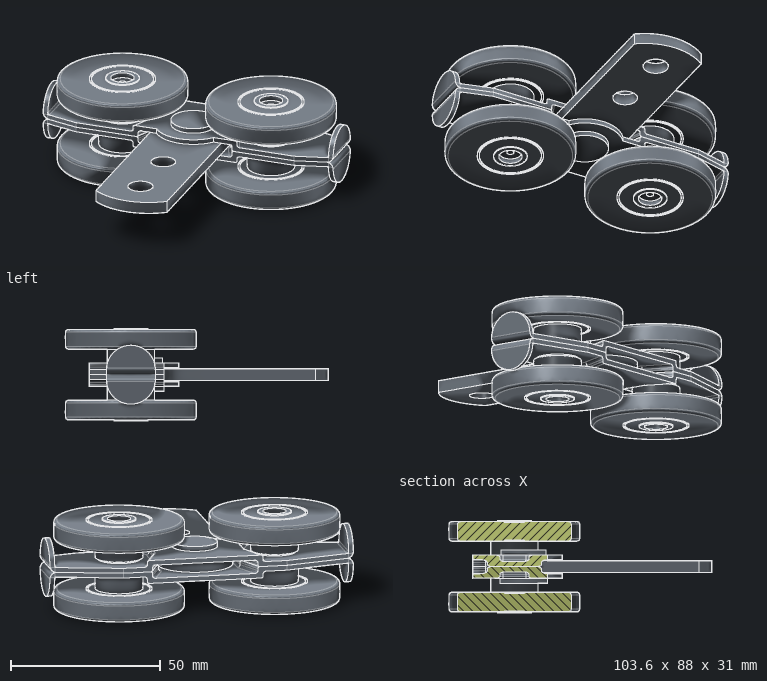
import cadquery as cq
import math


overall_length = 103.6
axle_spacing = 53.0
axle_x = axle_spacing / 2
pivot_y = -3.1

sheet = 1.7
pan_depth = 2.3
pan_top = pan_depth + sheet
plate_back = 14.0
plate_front = 11.1
lobe_radius = 13.0
blank_half_width = 25.9
pan_corner_y = 4.1
pan_inner_x = 13.9
pan_wall_angle = 22.5
convex_radius = 0.6
concave_radius = 0.9

flange_radius = 8.2
flange_top = sheet + flange_radius
bend_inner_radius = 0.6
bend_outer_radius = bend_inner_radius + sheet
taper_slope = 0.26

wheel_diameter = 43.9
wheel_bottom = 8.5
wheel_top = 15.1
crown_height = 0.2
wheel_edge = 1.0
ring_outer_diameter = 22.2
ring_inner_diameter = 20.8
ring_depth = 0.3

barrel_diameter = 16.0
neck_diameter = 14.2
neck_height = 0.6
core_diameter = 9.9
journal_diameter = 11.3
axle_length = 31.0
axle_half_length = axle_length / 2
recess_diameter = 7.8
recess_depth = 1.8
center_hole_diameter = 2.4
drill_point_angle = 118.0

hanger_width = 25.4
hanger_thickness = 4.0
hanger_tip_y = -66.0
hanger_shoulder_y = -61.6
hanger_holes = [(-31.6, 8.2), (-53.1, 8.4)]

pin_shaft_diameter = 9.9
pin_top_diameter = 15.0
pin_bottom_diameter = 16.0
pin_half_length = 5.6


def disc(diameter, z_from, z_to, x=0.0, y=0.0):
    """Upright cylinder between two heights."""
    return cq.Workplane("XY", origin=(x, y, z_from)).circle(diameter / 2).extrude(z_to - z_from)


def plate_outline():
    """Plan of a plate, flanges included, as a tall prism."""
    end_x = overall_length / 2
    taper_x = end_x - sheet
    front_x = taper_x - (plate_front - flange_radius) / taper_slope
    back_x = taper_x - (plate_back - flange_radius) / taper_slope
    lobe_x = math.sqrt(lobe_radius**2 - (plate_front + pivot_y) ** 2)
    return (
        cq.Workplane("XY")
        .moveTo(-lobe_x, -plate_front)
        .threePointArc((0, pivot_y - lobe_radius), (lobe_x, -plate_front))
        .lineTo(front_x, -plate_front)
        .lineTo(taper_x, -flange_radius)
        .lineTo(end_x, -flange_radius)
        .lineTo(end_x, flange_radius)
        .lineTo(taper_x, flange_radius)
        .lineTo(back_x, plate_back)
        .lineTo(-back_x, plate_back)
        .lineTo(-taper_x, flange_radius)
        .lineTo(-end_x, flange_radius)
        .lineTo(-end_x, -flange_radius)
        .lineTo(-taper_x, -flange_radius)
        .lineTo(-front_x, -plate_front)
        .close()
        .extrude(flange_top)
    )


def pan_prism(middle_x, corner_y, height):
    """Block waisted in the middle, whose sides are one face of the pan wall."""
    reach_y = blank_half_width
    reach_x = middle_x + (reach_y - corner_y) * math.tan(math.radians(pan_wall_angle))
    return (
        cq.Workplane("XY")
        .polyline([
            (-middle_x, -corner_y), (-reach_x, -reach_y), (reach_x, -reach_y), (middle_x, -corner_y),
            (middle_x, corner_y), (reach_x, reach_y), (-reach_x, reach_y), (-middle_x, corner_y),
        ])
        .close()
        .extrude(height)
    )


def wall_edges(shape, z):
    """Edges at height z along the pan wall, leaving out the outer border of the sheet."""
    margin = 0.1
    reach_x = overall_length / 2 - margin
    reach_y = blank_half_width - margin
    return shape.edges(
        cq.selectors.BoxSelector((-reach_x, -reach_y, z - margin), (reach_x, reach_y, z + margin))
    )


def pressed_sheet():
    """Flat sheet with the raised pan across its middle and rounded bends."""
    corner_shift = sheet * math.tan(math.radians(pan_wall_angle / 2))
    sheet_body = (
        cq.Workplane("XY")
        .rect(overall_length, 2 * blank_half_width)
        .extrude(sheet)
        .union(pan_prism(pan_inner_x + sheet, pan_corner_y - corner_shift, pan_top))
        .cut(pan_prism(pan_inner_x, pan_corner_y, pan_depth))
    )
    for z, radius in [
        (0, convex_radius), (sheet, concave_radius), (pan_depth, concave_radius), (pan_top, convex_radius)
    ]:
        sheet_body = wall_edges(sheet_body, z).fillet(radius)
    return sheet_body


def end_flange():
    """Upright rounded flange at the +X end, with its bend; the bend is wider than the plate there."""
    bend_x = overall_length / 2 - bend_outer_radius
    bend = (
        cq.Workplane("XZ", origin=(bend_x, plate_front, bend_outer_radius))
        .moveTo(0, -bend_outer_radius)
        .radiusArc((bend_outer_radius, 0), -bend_outer_radius)
        .lineTo(bend_inner_radius, 0)
        .radiusArc((0, -bend_inner_radius), bend_inner_radius)
        .close()
        .extrude(2 * plate_front)
    )
    upright = (
        cq.Workplane("XY")
        .box(sheet, 2 * flange_radius, flange_top - bend_outer_radius, centered=(False, True, False))
        .translate((overall_length / 2 - sheet, 0, bend_outer_radius))
    )
    rounded_face = (
        cq.Workplane("YZ")
        .moveTo(-plate_front, 0)
        .lineTo(plate_front, 0)
        .lineTo(plate_front, sheet)
        .lineTo(flange_radius, sheet)
        .threePointArc((0, flange_top), (-flange_radius, sheet))
        .lineTo(-plate_front, sheet)
        .close()
        .extrude(overall_length / 2)
    )
    return bend.union(upright).intersect(rounded_face)


def make_upper_plate():
    bend_x = overall_length / 2 - bend_outer_radius
    between_bends = cq.Workplane("XY").box(2 * bend_x, overall_length, 2 * flange_top)
    flange = end_flange()
    plate = (
        pressed_sheet()
        .intersect(between_bends)
        .union(flange)
        .union(flange.mirror("YZ"))
        .intersect(plate_outline())
    )
    for x in (-axle_x, axle_x):
        plate = plate.cut(disc(core_diameter, 0, sheet, x))
    return plate.cut(disc(pin_shaft_diameter, 0, pan_top, 0, pivot_y))


def make_wheel(x, side):
    """Crowned wheel with a shallow ring groove in both faces; side is +1 above and -1 below."""
    bore = journal_diameter / 2
    rim = wheel_diameter / 2 - crown_height
    middle_z = (wheel_bottom + wheel_top) / 2
    wheel = (
        cq.Workplane("XZ")
        .moveTo(bore, wheel_bottom)
        .lineTo(rim, wheel_bottom)
        .threePointArc((wheel_diameter / 2, middle_z), (rim, wheel_top))
        .lineTo(bore, wheel_top)
        .close()
        .revolve(360, (0, 0, 0), (0, 1, 0))
    )
    rim_edges = cq.selectors.RadiusNthSelector(-1)
    for face in ("<Z", ">Z"):
        wheel = wheel.faces(face).edges(rim_edges).fillet(wheel_edge)
    for z in (wheel_bottom, wheel_top - ring_depth):
        ring_core = disc(ring_inner_diameter, z, z + ring_depth)
        wheel = wheel.cut(disc(ring_outer_diameter, z, z + ring_depth).cut(ring_core))
    if side < 0:
        wheel = wheel.mirror("XY")
    return wheel.translate((x, 0, 0))


def axle_end():
    """Upper half of an axle, from the meeting plane up to its recessed end."""
    recess_floor = axle_half_length - recess_depth
    hole_radius = center_hole_diameter / 2
    drill_point = hole_radius / math.tan(math.radians(drill_point_angle / 2))
    return (
        cq.Workplane("XZ")
        .polyline([
            (0, 0),
            (core_diameter / 2, 0),
            (core_diameter / 2, sheet),
            (neck_diameter / 2, sheet),
            (neck_diameter / 2, sheet + neck_height),
            (barrel_diameter / 2, sheet + neck_height),
            (barrel_diameter / 2, wheel_bottom),
            (journal_diameter / 2, wheel_bottom),
            (journal_diameter / 2, axle_half_length),
            (recess_diameter / 2, axle_half_length),
            (recess_diameter / 2, recess_floor),
            (hole_radius, recess_floor),
            (0, recess_floor - drill_point),
        ])
        .close()
        .revolve(360, (0, 0, 0), (0, 1, 0))
    )


def make_axle(x):
    half = axle_end()
    return half.union(half.mirror("XY")).translate((x, 0, 0))


def make_hanger():
    half_width = hanger_width / 2
    hanger = (
        cq.Workplane("XY", origin=(0, 0, -hanger_thickness / 2))
        .moveTo(-half_width, hanger_shoulder_y)
        .threePointArc((0, hanger_tip_y), (half_width, hanger_shoulder_y))
        .lineTo(half_width, pivot_y)
        .threePointArc((0, pivot_y + half_width), (-half_width, pivot_y))
        .close()
        .extrude(hanger_thickness)
    )
    for y, diameter in [*hanger_holes, (pivot_y, pin_shaft_diameter)]:
        hanger = hanger.cut(disc(diameter, -hanger_thickness / 2, hanger_thickness / 2, 0, y))
    return hanger


def make_pivot_pin():
    """Shaft through both plates and the hanger, with a head on each side."""
    return (
        disc(pin_shaft_diameter, -pan_top, pan_top, 0, pivot_y)
        .union(disc(pin_top_diameter, pan_top, pin_half_length, 0, pivot_y))
        .union(disc(pin_bottom_diameter, -pin_half_length, -pan_top, 0, pivot_y))
    )


upper_plate = make_upper_plate()
lower_plate = upper_plate.mirror("XY")
hanger = make_hanger()
pivot_pin = make_pivot_pin()
axles = [make_axle(x) for x in (-axle_x, axle_x)]
wheels = [make_wheel(x, side) for x in (-axle_x, axle_x) for side in (1, -1)]

bodies = [upper_plate, lower_plate, hanger, pivot_pin, *axles, *wheels]
result = cq.Compound.makeCompound([body.val() for body in bodies])